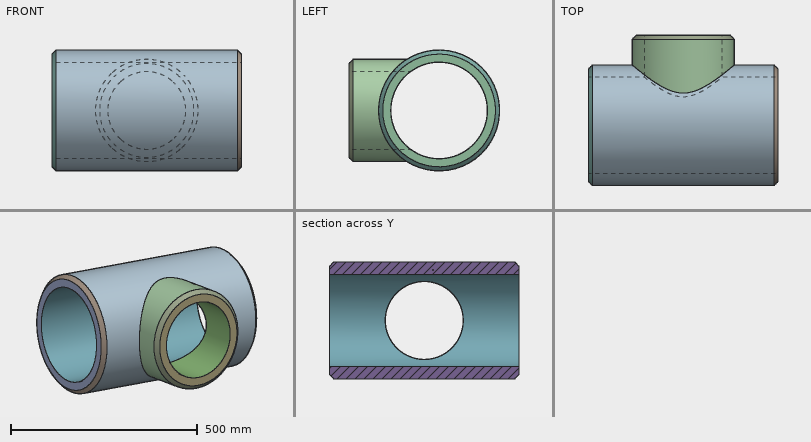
import cadquery as cq

run_length = 508.0
run_diameter = 324.0
run_bore = 258.0
branch_diameter = 274.5
branch_reach = 241.5
bevel = 11.0

wall = (run_diameter - run_bore) / 2
branch_bore = branch_diameter - 2 * wall


def run_cylinder(diameter):
    """Cylinder along X, centred on the origin."""
    return cq.Workplane("YZ").circle(diameter / 2).extrude(run_length / 2, both=True)


def branch_cylinder(diameter):
    """Cylinder from the run axis to the branch end face."""
    return cq.Workplane("XZ").circle(diameter / 2).extrude(-branch_reach)


run = run_cylinder(run_diameter).faces("<X or >X").chamfer(bevel)
branch = branch_cylinder(branch_diameter).faces(">Y").chamfer(bevel)

result = (
    run.union(branch)
    .cut(run_cylinder(run_bore))
    .cut(branch_cylinder(branch_bore))
)